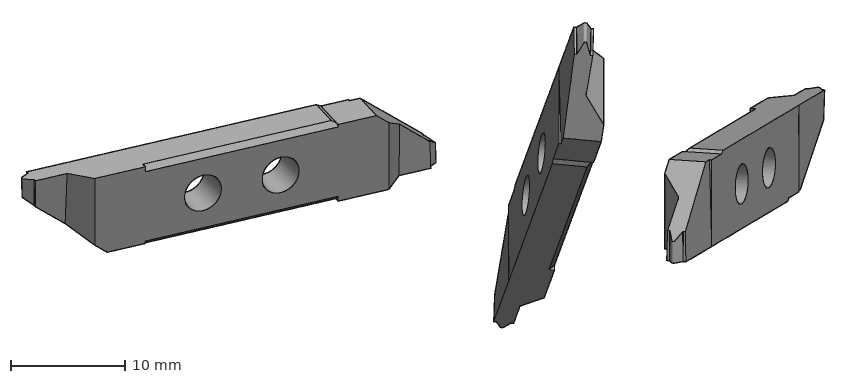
import cadquery as cq
import math

length = 40.0
thickness = 3.6
height = 8.0

blade_width = 1.78
nose_radius = 0.2
flank_half_angle = 30.0
tip_length = 0.9
clearance_angle = 1.5
full_body_half_length = 12.0
blade_overlap = 1.0

shoulder_start = 14.2

slope_angle = 40.0
slope_start = 13.0
step_start = 9.3
step_depth = 0.25
step_ramp_angle = 30.0
edge_chamfer = 0.5

hole_diameter = 3.55
hole_spacing = 7.5

half_length = length / 2
half_height = height / 2
blade_center = blade_width / 2


def make_body():
    """Full-thickness middle of the bar."""
    return cq.Workplane("XY").box(
        thickness, 2 * full_body_half_length, height, centered=(False, True, True)
    )


def make_blade():
    """Blade with a rounded V tip; every wall leans in by the clearance angle above the cutting face."""
    angle = math.radians(flank_half_angle)
    root_y = half_length - tip_length
    nose_center_y = half_length - nose_radius
    tangent_offset = nose_radius * math.cos(angle)
    tangent_y = nose_center_y + nose_radius * math.sin(angle)
    root_offset = tangent_offset + (tangent_y - root_y) * math.tan(angle)
    overlap_y = full_body_half_length - blade_overlap
    outline = (
        cq.Workplane("XY", origin=(0, 0, -half_height))
        .moveTo(0, overlap_y)
        .lineTo(blade_width, overlap_y)
        .lineTo(blade_width, root_y)
        .lineTo(blade_center + root_offset, root_y)
        .lineTo(blade_center + tangent_offset, tangent_y)
        .threePointArc((blade_center, half_length), (blade_center - tangent_offset, tangent_y))
        .lineTo(blade_center - root_offset, root_y)
        .lineTo(0, root_y)
        .close()
    )
    return outline.extrude(height, taper=clearance_angle)


def make_shoulder():
    """Full-height block whose 45 degree face runs down into the middle of the blade."""
    shoulder_end = shoulder_start + thickness - blade_center
    return (
        cq.Workplane("XY", origin=(0, 0, -half_height))
        .moveTo(blade_center, full_body_half_length)
        .lineTo(thickness, full_body_half_length)
        .lineTo(thickness, shoulder_start)
        .lineTo(blade_center, shoulder_end)
        .close()
        .extrude(height)
    )


def make_end_cut():
    """Material above the ramp, the lowered step and the sloping end."""
    step_z = half_height - step_depth
    ramp_length = step_depth / math.tan(math.radians(step_ramp_angle))
    slope_drop = (half_length - slope_start) * math.tan(math.radians(slope_angle))
    return (
        cq.Workplane("YZ")
        .moveTo(step_start - ramp_length, half_height)
        .lineTo(step_start, step_z)
        .lineTo(slope_start, step_z)
        .lineTo(half_length, step_z - slope_drop)
        .lineTo(half_length, half_height)
        .close()
        .extrude(thickness)
    )


def make_edge_chamfer_cut():
    """Prism along the upper +X edge, stopping where the step begins."""
    return (
        cq.Workplane("XZ", origin=(0, step_start, 0))
        .moveTo(thickness, half_height)
        .lineTo(thickness - edge_chamfer, half_height)
        .lineTo(thickness, half_height - edge_chamfer)
        .close()
        .extrude(2 * step_start)
    )


def both_ends(solid):
    """The solid joined with its copy turned half a revolution about X."""
    return solid.union(solid.rotate((0, 0, 0), (1, 0, 0), 180))


def make_holes():
    """Two through holes across the thickness."""
    return (
        cq.Workplane("YZ")
        .pushPoints([(-hole_spacing / 2, 0), (hole_spacing / 2, 0)])
        .circle(hole_diameter / 2)
        .extrude(thickness)
    )


result = (
    make_body()
    .union(both_ends(make_blade().union(make_shoulder())))
    .cut(both_ends(make_end_cut()))
    .cut(both_ends(make_edge_chamfer_cut()))
    .cut(make_holes())
)